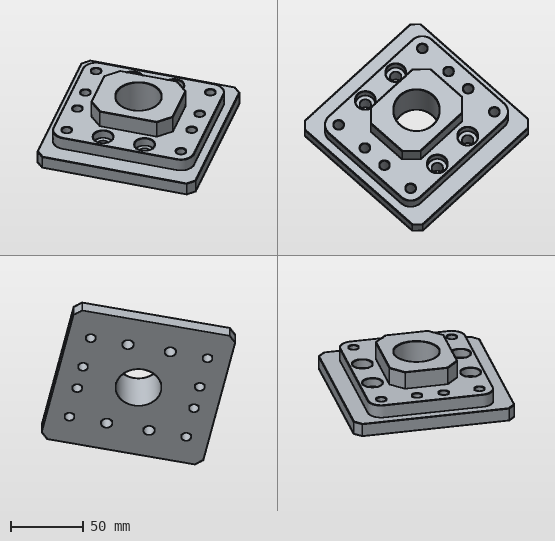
import cadquery as cq

base_side = 114.3
base_height = 9.5
base_corner_chamfer = 5.0

step_length = 101.6
step_width = 88.9
step_height = 9.5
step_corner_radius = 9.5

total_height = 31.8
block_length = 59.0
block_width = 48.2
block_corner_chamfer = 8.9
bore_diameter = 31.8

plain_hole_diameter = 6.9
plain_hole_x = 41.3
outer_row_y = 34.9
inner_row_y = 9.5
bolt_hole_diameter = 7.9
bolt_hole_x = 15.0
counterbore_diameter = 14.0
counterbore_depth = 6.4

edge_break = 0.3

step_top = base_height + step_height
block_height = total_height - step_top


def slab(length, width, height, bottom):
    """Rectangular slab centred on the Z axis, standing on the given level."""
    return cq.Workplane("XY", origin=(0, 0, bottom)).box(length, width, height, centered=(True, True, False))


def mirrored(x, y):
    """The four positions symmetric about both the X and Y axes."""
    return [(sx * x, sy * y) for sx in (-1, 1) for sy in (-1, 1)]


def through_cutters(points, diameter):
    """Cylinders running through the full height of the part."""
    return cq.Workplane("XY").pushPoints(points).circle(diameter / 2).extrude(total_height)


def break_top_edges(solid):
    """Bevel the outline of the top face."""
    return solid.faces(">Z").edges().chamfer(edge_break)


def rim_cutters(points, diameter, level):
    """Cones that bevel hole rims lying at the given level."""
    radius = diameter / 2
    cone = cq.Solid.makeCone(radius, radius + edge_break, edge_break)
    bottom = level - edge_break
    return cq.Workplane("XY", origin=(0, 0, bottom)).pushPoints(points).eachpoint(
        lambda place: cone.moved(place)
    )


base = slab(base_side, base_side, base_height, 0).edges("|Z").chamfer(base_corner_chamfer)
step = slab(step_length, step_width, step_height, base_height).edges("|Z").fillet(step_corner_radius)
block = slab(block_length, block_width, block_height, step_top).edges("|Z").chamfer(block_corner_chamfer)
body = break_top_edges(base).union(break_top_edges(step)).union(break_top_edges(block))

bore_points = [(0, 0)]
body = body.cut(through_cutters(bore_points, bore_diameter))
body = body.cut(rim_cutters(bore_points, bore_diameter, total_height))

plain_hole_points = mirrored(plain_hole_x, outer_row_y) + mirrored(plain_hole_x, inner_row_y)
body = body.cut(through_cutters(plain_hole_points, plain_hole_diameter))
body = body.cut(rim_cutters(plain_hole_points, plain_hole_diameter, step_top))

bolt_points = mirrored(bolt_hole_x, outer_row_y)
body = body.cut(through_cutters(bolt_points, bolt_hole_diameter))
counterbores = (
    cq.Workplane("XY", origin=(0, 0, step_top))
    .pushPoints(bolt_points)
    .circle(counterbore_diameter / 2)
    .extrude(-counterbore_depth)
)
body = body.cut(counterbores)
result = body.cut(rim_cutters(bolt_points, counterbore_diameter, step_top))